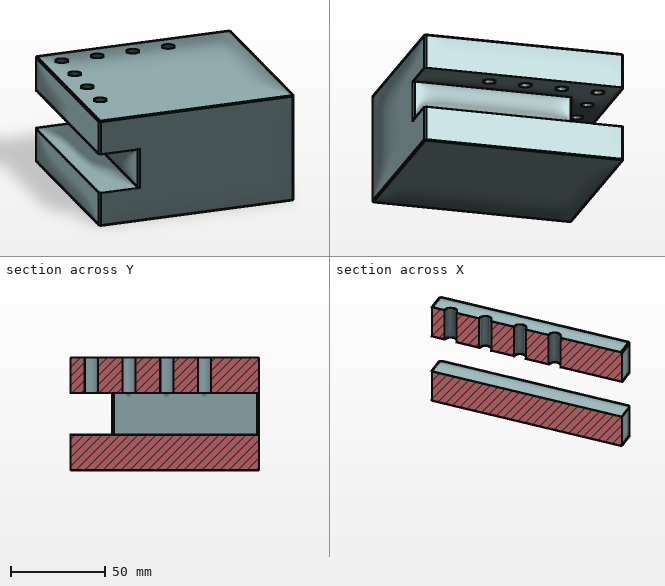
import cadquery as cq

length_x = 100.0
length_y = 110.0
height = 60.0

gap = 22.0
setback = 22.0
plate_thickness = (height - gap) / 2

corner_chamfer = 1.0
rim_chamfer = 0.5

hole_diameter = 6.7
hole_inset = 11.0
hole_pitch = 20.0
holes_per_row = 4


def chamfered_block(size_x, size_y, size_z):
    """Block with a corner at the origin and chamfered vertical edges."""
    block = cq.Workplane("XY").box(size_x, size_y, size_z, centered=False)
    return block.edges("|Z").chamfer(corner_chamfer)


def hole_centers():
    """Corner hole first, then the rest of the X row and of the Y row."""
    offsets = [hole_inset + i * hole_pitch for i in range(holes_per_row)]
    row_x = [(x, hole_inset) for x in offsets]
    row_y = [(hole_inset, y) for y in offsets[1:]]
    return row_x + row_y


plate = chamfered_block(length_x, length_y, plate_thickness)
lower_plate = plate.faces("<Z").chamfer(rim_chamfer)
upper_plate = plate.faces(">Z").chamfer(rim_chamfer).translate((0, 0, plate_thickness + gap))
core = chamfered_block(length_x - setback, length_y - setback, gap)
core = core.translate((setback, setback, plate_thickness))

holes = (
    cq.Workplane("XY", origin=(0, 0, plate_thickness + gap))
    .pushPoints(hole_centers())
    .circle(hole_diameter / 2)
    .extrude(plate_thickness)
)

result = lower_plate.union(core).union(upper_plate).cut(holes)